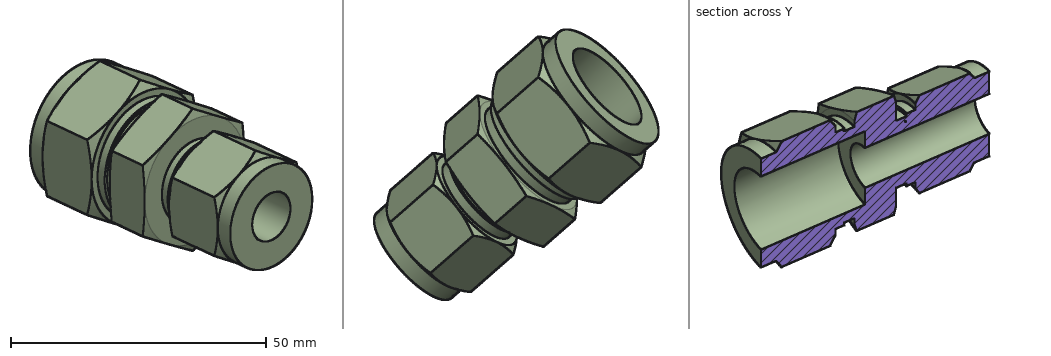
import cadquery as cq
import math


length = 53.6
collar_length = 3.55
large_nut_end = 17.5
large_ring_end = 19.55
body_hex_start = 21.85
body_hex_end = 31.8
small_ring_start = 34.15
small_nut_start = 36.2

large_nut_flats = 28.55
body_hex_flats = 27.0
small_nut_flats = 22.25

large_ring_diameter = 25.4
large_neck_diameter = 24.05
small_neck_diameter = 17.7
small_ring_diameter = 19.1
large_bore_diameter = 19.0
through_bore_diameter = 10.35
large_bore_depth = 24.4

nut_chamfer_angle = 30.0
body_chamfer_angle = 15.0


def cylinder(start, end, diameter):
    """Round bar along X between two stations."""
    return cq.Workplane("YZ", origin=(start, 0, 0)).circle(diameter / 2).extrude(end - start)


def chamfered_hexagon(start, end, flats, chamfer_angle):
    """Hexagonal bar along X, its corners turned off by a cone at both ends.

    Each cone begins at the circle that touches the flats and runs out at the corners.
    """
    flat_radius = flats / 2
    corner_radius = flat_radius / math.cos(math.radians(30))
    chamfer = (corner_radius - flat_radius) * math.tan(math.radians(chamfer_angle))
    hexagon = (
        cq.Workplane("YZ", origin=(start, 0, 0))
        .transformed(rotate=(0, 0, 90))
        .polygon(6, 2 * corner_radius)
        .extrude(end - start)
    )
    turned_blank = (
        cq.Workplane("XY")
        .moveTo(start, 0)
        .lineTo(start, flat_radius)
        .lineTo(start + chamfer, corner_radius)
        .lineTo(end - chamfer, corner_radius)
        .lineTo(end, flat_radius)
        .lineTo(end, 0)
        .close()
        .revolve(360, (0, 0, 0), (1, 0, 0))
    )
    return hexagon.intersect(turned_blank)


large_nut = cylinder(0, collar_length, large_nut_flats).union(
    chamfered_hexagon(collar_length, large_nut_end, large_nut_flats, nut_chamfer_angle)
)

small_collar_start = length - collar_length
small_nut = chamfered_hexagon(
    small_nut_start, small_collar_start, small_nut_flats, nut_chamfer_angle
).union(cylinder(small_collar_start, length, small_nut_flats))

body = (
    chamfered_hexagon(body_hex_start, body_hex_end, body_hex_flats, body_chamfer_angle)
    .union(cylinder(large_nut_end, large_ring_end, large_ring_diameter))
    .union(cylinder(large_ring_end, body_hex_start, large_neck_diameter))
    .union(cylinder(body_hex_end, small_ring_start, small_neck_diameter))
    .union(cylinder(small_ring_start, small_nut_start, small_ring_diameter))
)

result = (
    large_nut.union(body)
    .union(small_nut)
    .cut(cylinder(0, large_bore_depth, large_bore_diameter))
    .cut(cylinder(0, length, through_bore_diameter))
)